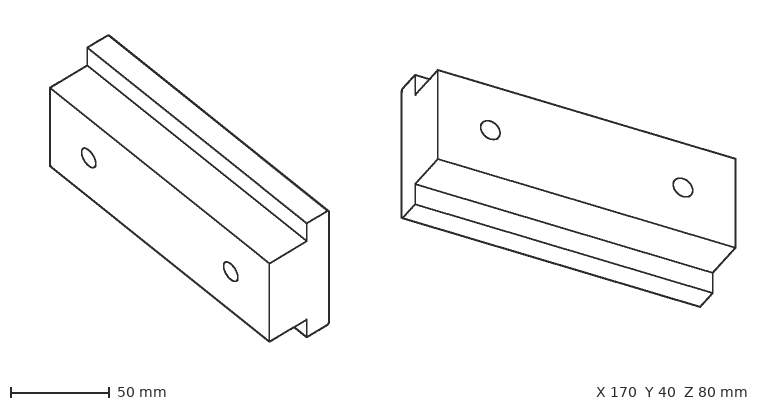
import cadquery as cq

length = 170.0
depth = 40.0
flange_height = 80.0
flange_thickness = 15.0
block_height = 55.0
hole_diameter = 11.0
hole_spacing = 110.0
edge_chamfer = 1.0


def make_flange():
    """Tall plate at the back (+Y), its two long back edges chamfered."""
    return (
        cq.Workplane("XY")
        .box(length, flange_thickness, flange_height)
        .translate((0, (depth - flange_thickness) / 2, 0))
        .faces(">Y")
        .edges("|X")
        .chamfer(edge_chamfer)
    )


def make_block():
    """Narrower block running the full depth, centred on the flange."""
    return cq.Workplane("XY").box(length, depth, block_height)


def drill_holes(body):
    """Two through holes along Y, symmetric about the middle of the length."""
    return (
        body.faces("<Y")
        .workplane(centerOption="CenterOfBoundBox")
        .rarray(hole_spacing, 1.7, 2, 1)
        .hole(hole_diameter)
    )


result = drill_holes(make_block().union(make_flange()))